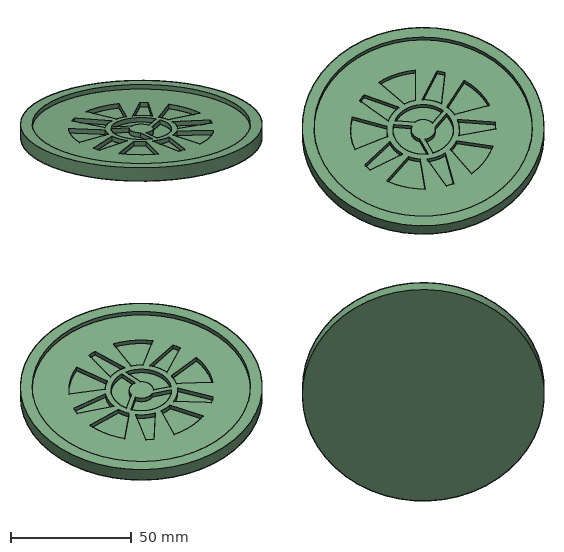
import cadquery as cq
import math

disc_diameter = 100.0
disc_height = 6.0
recess_diameter = 90.2
recess_depth = 2.0

pocket_depth = 2.0
window_inner_radius = 15.0
window_outer_radius = 30.0
window_count = 5
wide_inner_half_width = 2.5
wide_outer_half_width = 8.2
narrow_inner_half_width = 4.1
narrow_outer_half_width = 1.7

ring_outer_radius = 12.5
hub_radius = 5.0
spoke_count = 3
spoke_width = 2.0
spoke_offset = 2.3
first_spoke_angle = -15.0

face_height = disc_height - recess_depth
floor_height = face_height - pocket_depth


def on_floor():
    return cq.Workplane("XY").workplane(offset=floor_height)


def window(inner_half_width, outer_half_width, angle):
    """Tapered pocket with arc ends, centred on the given direction."""
    inner_x = math.sqrt(window_inner_radius**2 - inner_half_width**2)
    outer_x = math.sqrt(window_outer_radius**2 - outer_half_width**2)
    return (
        on_floor()
        .moveTo(inner_x, -inner_half_width)
        .lineTo(outer_x, -outer_half_width)
        .threePointArc((window_outer_radius, 0), (outer_x, outer_half_width))
        .lineTo(inner_x, inner_half_width)
        .threePointArc((window_inner_radius, 0), (inner_x, -inner_half_width))
        .close()
        .extrude(pocket_depth)
        .rotate((0, 0, 0), (0, 0, 1), angle)
    )


def ring_pocket():
    """Ring around the hub, less the spokes that join the hub to the disc."""
    ring = on_floor().circle(ring_outer_radius).circle(hub_radius).extrude(pocket_depth)
    spoke = (
        on_floor()
        .center(ring_outer_radius / 2, -spoke_offset)
        .rect(ring_outer_radius, spoke_width)
        .extrude(pocket_depth)
    )
    for index in range(spoke_count):
        angle = first_spoke_angle + index * 360 / spoke_count
        ring = ring.cut(spoke.rotate((0, 0, 0), (0, 0, 1), angle))
    return ring


disc = cq.Workplane("XY").circle(disc_diameter / 2).extrude(disc_height)
recess = cq.Workplane("XY").workplane(offset=face_height).circle(recess_diameter / 2).extrude(recess_depth)
result = disc.cut(recess).cut(ring_pocket())

for index in range(window_count):
    wide_angle = 90 + index * 360 / window_count
    result = result.cut(window(wide_inner_half_width, wide_outer_half_width, wide_angle))
    result = result.cut(window(narrow_inner_half_width, narrow_outer_half_width, wide_angle + 180))